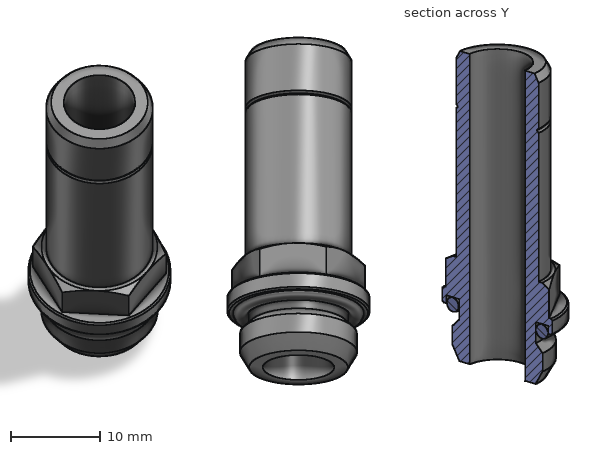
import cadquery as cq
import math

total_height = 37.5
bore_diameter = 8.0

thread_diameter = 13.16
thread_start_z = 1.8
thread_lead_in_angle = 30.0
thread_tip_diameter = thread_diameter - 2 * thread_start_z * math.tan(math.radians(thread_lead_in_angle))
thread_end_z = 4.02
neck_diameter = 11.2
thread_runout = (thread_diameter - neck_diameter) / 2

flange_diameter = 16.0
flange_thickness = 2.0
flange_bottom_z = 6.5
flange_top_z = flange_bottom_z + flange_thickness
flange_chamfer = 0.2
hex_sides = 6
hex_across_flats = 13.0
hex_height = 4.0
hex_top_z = flange_top_z + hex_height
hex_across_corners = hex_across_flats / math.cos(math.pi / hex_sides)
hex_chamfer_angle = 30.0

tube_diameter = 12.0
tip_height = 1.0
tip_taper_angle = 30.0
tip_diameter = tube_diameter - 2 * tip_height * math.tan(math.radians(tip_taper_angle))
groove_z = 30.7
groove_depth = 0.25

ring_section_diameter = 1.75
ring_inner_diameter = neck_diameter
ring_outer_diameter = ring_inner_diameter + 2 * ring_section_diameter
ring_centre_z = 6.6
ring_top_z = ring_centre_z + ring_section_diameter / 2


def make_ring():
    """Round-section sealing ring around the neck."""
    centre_radius = (ring_inner_diameter + ring_section_diameter) / 2
    ring = cq.Solid.makeTorus(centre_radius, ring_section_diameter / 2)
    return cq.Workplane(obj=ring.translate(cq.Vector(0, 0, ring_centre_z)))


def make_threaded_end():
    """Plain thread envelope with a lead-in taper, a run-out shoulder and a neck."""
    outline = [
        (0, 0),
        (thread_tip_diameter / 2, 0),
        (thread_diameter / 2, thread_start_z),
        (thread_diameter / 2, thread_end_z),
        (neck_diameter / 2, thread_end_z + thread_runout),
        (neck_diameter / 2, flange_bottom_z),
        (0, flange_bottom_z),
    ]
    return cq.Workplane("XZ").polyline(outline).close().revolve(360, (0, 0), (0, 1))


def make_flange():
    """Round flange with both rims chamfered."""
    disc = cq.Workplane(origin=(0, 0, flange_bottom_z)).circle(flange_diameter / 2).extrude(flange_thickness)
    return disc.edges("%CIRCLE").chamfer(flange_chamfer)


def make_hexagon():
    """Hexagon with corners on the X axis, its upper corners cut back by a cone."""
    prism = cq.Workplane(origin=(0, 0, flange_top_z)).polygon(hex_sides, hex_across_corners).extrude(hex_height)
    top_radius = hex_across_flats / 2
    corner_radius = hex_across_corners / 2
    corner_drop = (corner_radius - top_radius) * math.tan(math.radians(hex_chamfer_angle))
    outline = [
        (0, flange_top_z),
        (corner_radius, flange_top_z),
        (corner_radius, hex_top_z - corner_drop),
        (top_radius, hex_top_z),
        (0, hex_top_z),
    ]
    envelope = cq.Workplane("XZ").polyline(outline).close().revolve(360, (0, 0), (0, 1))
    return prism.intersect(envelope)


def make_tube():
    """Tube stub with a tapered tip and a V-groove around it."""
    tube_radius = tube_diameter / 2
    outline = [
        (0, hex_top_z),
        (tube_radius, hex_top_z),
        (tube_radius, groove_z - groove_depth),
        (tube_radius - groove_depth, groove_z),
        (tube_radius, groove_z + groove_depth),
        (tube_radius, total_height - tip_height),
        (tip_diameter / 2, total_height),
        (0, total_height),
    ]
    return cq.Workplane("XZ").polyline(outline).close().revolve(360, (0, 0), (0, 1))


def make_ring_seat():
    """Volume of the square-sided recess in the flange that touches the ring inside, outside and above."""
    seat = cq.Workplane(origin=(0, 0, flange_bottom_z))
    seat = seat.circle(ring_outer_diameter / 2).circle(ring_inner_diameter / 2)
    return seat.extrude(ring_top_z - flange_bottom_z)


def make_fitting():
    """Complete fitting with its through bore and the recess that seats the ring."""
    bore = cq.Workplane().circle(bore_diameter / 2).extrude(total_height)
    body = make_threaded_end().union(make_flange()).union(make_hexagon()).union(make_tube())
    return body.cut(bore).cut(make_ring_seat()).solids()


fitting = make_fitting()
sealing_ring = make_ring()

result = cq.Compound.makeCompound([fitting.val(), sealing_ring.val()])